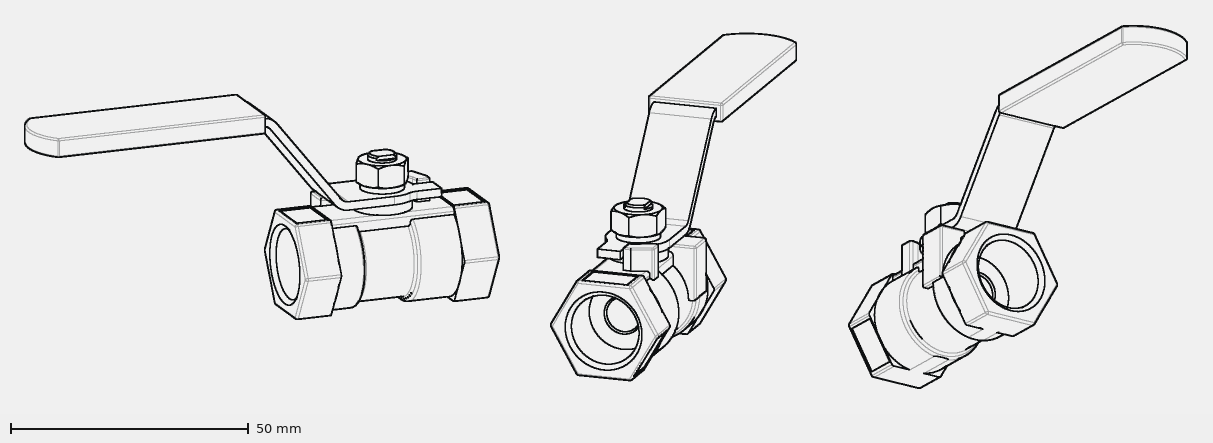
import cadquery as cq
import math


hex_across_flats = 20.9
hex_corner_radius = 0.6
hex_edge_radius = 0.5
hex_length = 8.1
body_back = 21.9
body_front = -22.0
barrel_radius = 10.6
neck_radius = 9.5
neck_back = 4.0
neck_front = -8.0
bridge_width = 12.0
bridge_edge_radius = 0.8
bridge_top = 10.3
flat_height = hex_across_flats / 2

panel_width = 10.0
panel_margin = 0.7
panel_inner_margin = 0.3
panel_depth = 0.2

socket_radius = 7.5
socket_chamfer = 1.0
socket_depth = 12.2
bore_radius = 3.8
bore_chamfer = 0.4

block_stop_left = -11.0
block_stop_right = -5.1
block_stop_back = -4.9
block_stop_front = -11.9
block_stop_top = 11.9
block_stop_edge_radius = 0.4
lug_top = 15.3
lug_bottom = 7.3
lug_corner_radius = 0.5
lug_edge_radius = 0.3

plate_thickness = 1.8
plate_bottom = 12.6
plate_top = plate_bottom + plate_thickness
lever_half_width = 6.9
lever_rise = 20.4
lower_bend_y = -11.8
upper_bend_y = -28.1
bend_radius = 2.0
tongue_width = 5.1
tongue_end = 11.4
tongue_blend_radius = 3.1

grip_start = -29.6
grip_tip = -80.1
grip_shoulder = -76.6
grip_half_width = 8.3
grip_thickness = 4.2
grip_edge_radius = 0.4
grip_overlap = 5.1

collar_radius = 6.3
washer_radius = 4.7
nut_bottom = 15.8
nut_top = 20.8
nut_across_flats = 10.2
nut_chamfer = 0.5
stem_radius = 3.1
stem_top = 22.1
stem_chamfer = 0.4
stem_flat_width = 4.3
stem_flat_bottom = 21.3


def disc(radius, bottom, top):
    return cq.Workplane("XY").workplane(offset=bottom).circle(radius).extrude(top - bottom)


def box_between(x_range, y_range, z_range):
    size = [high - low for low, high in (x_range, y_range, z_range)]
    return cq.Workplane("XY").box(*size, centered=False).translate((x_range[0], y_range[0], z_range[0]))


def hex_end(inner_y, outer_y):
    """Hexagonal wrench section with rounded corners and a rounded outer rim."""
    depth = abs(outer_y - inner_y)
    rim = ">Y" if outer_y > inner_y else "<Y"
    section = (
        cq.Workplane("XZ", origin=(0, max(inner_y, outer_y), 0))
        .polygon(6, hex_across_flats / math.cos(math.pi / 6))
        .extrude(depth)
    )
    return section.edges("|Y").fillet(hex_corner_radius).faces(rim).edges().fillet(hex_edge_radius)


def barrel():
    """Round middle of the body with its reduced neck, blended by S-shaped shoulders.

    It is trimmed flat above and below so that it stays within the hexagons.
    """
    blend = (barrel_radius - neck_radius) / 2
    middle_radius = neck_radius + blend
    back = body_back - hex_length
    front = body_front + hex_length
    turned = (
        cq.Workplane("XY")
        .moveTo(0, front)
        .lineTo(barrel_radius, front)
        .lineTo(barrel_radius, neck_front - blend)
        .tangentArcPoint((middle_radius, neck_front), relative=False)
        .tangentArcPoint((neck_radius, neck_front + blend), relative=False)
        .lineTo(neck_radius, neck_back - blend)
        .tangentArcPoint((middle_radius, neck_back), relative=False)
        .tangentArcPoint((barrel_radius, neck_back + blend), relative=False)
        .lineTo(barrel_radius, back)
        .lineTo(0, back)
        .close()
        .revolve(360, (0, 0, 0), (0, 1, 0))
    )
    across = (-barrel_radius, barrel_radius)
    return turned.intersect(box_between(across, (front, back), (-flat_height, bridge_top)))


def bridge():
    """Flat-topped rib joining the two hexagons under the lever."""
    half = bridge_width / 2
    rib = box_between(
        (-half, half),
        (body_front + hex_length, body_back - hex_length),
        (0, bridge_top),
    )
    return rib.edges("|Y and >Z").fillet(bridge_edge_radius)


def panel(y_low, y_high, turn):
    """Cutter for a shallow label panel on the top face, turned about the bore axis."""
    half = panel_width / 2
    cutter = box_between((-half, half), (y_low, y_high), (flat_height - panel_depth, flat_height))
    return cutter.rotate((0, 0, 0), (0, 1, 0), turn)


def waterway():
    """Stepped bore: a chamfered socket at each end and a narrow passage between."""
    front = body_front
    back = body_back
    mouth = socket_radius + socket_chamfer
    throat = bore_radius + bore_chamfer
    return (
        cq.Workplane("XY")
        .moveTo(0, front)
        .lineTo(mouth, front)
        .lineTo(socket_radius, front + socket_chamfer)
        .lineTo(socket_radius, front + socket_depth)
        .lineTo(throat, front + socket_depth)
        .lineTo(bore_radius, front + socket_depth + bore_chamfer)
        .lineTo(bore_radius, back - socket_depth - bore_chamfer)
        .lineTo(throat, back - socket_depth)
        .lineTo(socket_radius, back - socket_depth)
        .lineTo(socket_radius, back - socket_chamfer)
        .lineTo(mouth, back)
        .lineTo(0, back)
        .close()
        .revolve(360, (0, 0, 0), (0, 1, 0))
    )


def block_stop():
    """Rectangular stop beside the lever in its open position."""
    return box_between(
        (block_stop_left, block_stop_right),
        (block_stop_front, block_stop_back),
        (0, block_stop_top),
    ).edges(">Z or <X").fillet(block_stop_edge_radius)


def lug_stop():
    """Upright slanted lug beside the lever tongue."""
    outline = [(-6.7, 5.9), (-4.7, 6.3), (-2.2, 7.6), (-0.5, 8.1), (-0.5, 11.0), (-2.2, 11.1), (-6.7, 9.5)]
    lug = cq.Workplane("XY").workplane(offset=lug_bottom).polyline(outline).close()
    lug = lug.extrude(lug_top - lug_bottom)
    lug = lug.faces("<X").edges("|Z").fillet(lug_corner_radius)
    return lug.faces(">Z").edges().fillet(lug_edge_radius)


def lever_strip():
    """Bent strip running from the stem to the grip."""
    slope = math.atan2(lever_rise, lower_bend_y - upper_bend_y)
    shift = plate_thickness / 2 * math.tan(slope / 2)
    bottom = plate_bottom
    top = plate_top
    inside = grip_start - grip_overlap
    outline = [
        (0, bottom),
        (lower_bend_y - shift, bottom),
        (upper_bend_y - shift, bottom + lever_rise),
        (inside, bottom + lever_rise),
        (inside, top + lever_rise),
        (upper_bend_y + shift, top + lever_rise),
        (lower_bend_y + shift, top),
        (0, top),
    ]
    strip = cq.Workplane("YZ").polyline(outline).close().extrude(lever_half_width, both=True)
    inner_bends = [outline[2], outline[6]]
    outer_bends = [outline[1], outline[5]]
    for bends, radius in ((inner_bends, bend_radius), (outer_bends, bend_radius + plate_thickness)):
        for y, z in bends:
            strip = strip.edges(cq.NearestToPointSelector((0, y, z))).fillet(radius)
    return strip


def lever_head():
    """Rounded lever end around the stem with the tongue that meets the lug."""
    head = disc(lever_half_width, plate_bottom, plate_top)
    tongue = box_between((0, tongue_width), (0, tongue_end), (plate_bottom, plate_top))
    corner_y = math.sqrt(lever_half_width**2 - tongue_width**2)
    corner = cq.NearestToPointSelector((tongue_width, corner_y, (plate_bottom + plate_top) / 2))
    return head.union(tongue).edges(corner).fillet(tongue_blend_radius)


def grip():
    """Thick sleeve with an arched tip."""
    middle = plate_bottom + lever_rise + plate_thickness / 2
    sleeve = (
        cq.Workplane("XY")
        .workplane(offset=middle - grip_thickness / 2)
        .moveTo(-grip_half_width, grip_start)
        .lineTo(-grip_half_width, grip_shoulder)
        .threePointArc((0, grip_tip), (grip_half_width, grip_shoulder))
        .lineTo(grip_half_width, grip_start)
        .close()
        .extrude(grip_thickness)
    )
    return sleeve.edges().fillet(grip_edge_radius)


def nut():
    """Hexagon nut with its corners turned off conically at both ends."""
    corner_radius = nut_across_flats / 2 / math.cos(math.pi / 6)
    height = nut_top - nut_bottom
    prism = (
        cq.Workplane("XY")
        .workplane(offset=nut_bottom)
        .transformed(rotate=(0, 0, 90))
        .polygon(6, 2 * corner_radius)
        .extrude(height)
    )
    turned = disc(corner_radius, nut_bottom, nut_top)
    turned = turned.edges().chamfer(nut_chamfer, corner_radius - nut_across_flats / 2)
    return prism.intersect(turned)


def stem():
    """Threaded stem end with two flats above the nut."""
    rod = disc(stem_radius, plate_top, stem_top).faces(">Z").edges().chamfer(stem_chamfer)
    half = stem_flat_width / 2
    for x_range in ((-stem_radius, -half), (half, stem_radius)):
        rod = rod.cut(box_between(x_range, (-stem_radius, stem_radius), (stem_flat_bottom, stem_top)))
    return rod


body = barrel().union(bridge())
body = body.union(hex_end(body_back - hex_length, body_back))
body = body.union(hex_end(body_front + hex_length, body_front))
body = body.union(block_stop()).union(lug_stop())

back_panel = (body_back - hex_length + panel_inner_margin, body_back - panel_margin)
front_panel = (body_front + panel_margin, body_front + hex_length - panel_inner_margin)
for (y_low, y_high), turn in ((back_panel, 0), (back_panel, -120), (front_panel, 0)):
    body = body.cut(panel(y_low, y_high, turn))
body = body.cut(waterway())

result = body.union(disc(collar_radius, bridge_top, plate_bottom))
for piece in (lever_head(), lever_strip(), grip(), disc(washer_radius, plate_top, nut_bottom), nut(), stem()):
    result = result.union(piece)